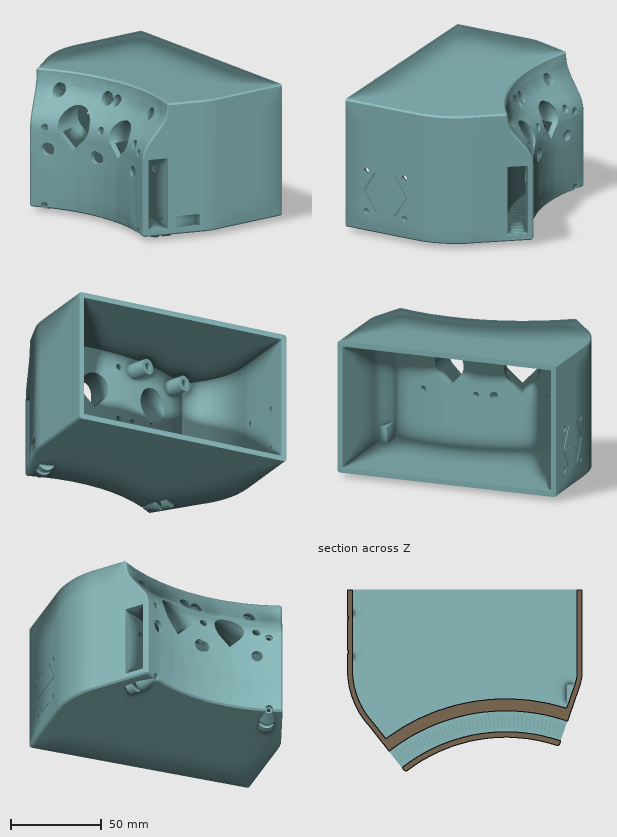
import cadquery as cq
import math

LENGTH = 129.8
HEIGHT = 75.8
BACK_Y = 171.3
LEFT_X = -87.6
RIGHT_X = LEFT_X + LENGTH
FRONT_RADIUS = 89.7
LEFT_END_ANGLE = 38.2
RIGHT_END_ANGLE = -19.1
LEFT_BEND_TOP_Y = 127.2
LEFT_BEND_END_Y = 95.4
RIGHT_BEND_RADIUS = 23.4
EDGE_CHAMFER = 0.9

RECESS_RADIUS = 104.1
RECESS_START_Z = 43.9
RECESS_BLEND_RADIUS = 17.1
RECESS_SLOPE_ANGLE = 38.0

CUT_START_RADIUS = 83.1

WALL = 3.0
BLOCK_BACK_RADIUS = 111.1

CHANNEL_INNER_RADIUS = 92.9
CHANNEL_OUTER_RADIUS = 104.2
CHANNEL_BOTTOM_Z = 3.5
CHANNEL_TOP_Z = 44.4
GROOVE_DEPTH = 0.5
GROOVE_WIDTH = 1.0
GROOVE_PITCH_ANGLE = 1.3

STATION_Z = 49.7
SCREW_OFFSET = 15.6
STRAIGHT_ANGLE = 0.0
STRAIGHT_TEARDROP_RADIUS = 8.6
STRAIGHT_SCREW_DIAMETER = 3.4
STRAIGHT_HEAD_DIAMETER = 6.5
STRAIGHT_SEAT_RADIUS = 105.0
SIDE_HOLE_DIAMETER = 4.5
SIDE_HOLE_FLOOR_RADIUS = 96.0
TURNED_ANGLE = 21.4
TURNED_TEARDROP_RADIUS = 10.0
TURNED_SCREW_DIAMETER = 4.5
TURNED_HEAD_DIAMETER = 7.5
TURNED_SEAT_RADIUS = 108.0
POST_DIAMETER = 9.0
POST_END_RADIUS = 120.7

BOSS_ANGLES = (32.7, -14.3)
BOSS_DIAMETER = 9.0
BOSS_DROP = 3.0
BOSS_LOWER_Z = BOSS_DIAMETER / 2 - BOSS_DROP
BOSS_UPPER_Z = 46.6
BOSS_TIP_DIAMETER = 4.4
BOSS_TIP_DISTANCE = 91.1
BOSS_FULL_DISTANCE = 99.3
BOSS_END_DISTANCE = 101.1
PAD_START_DISTANCE = 103.8
PAD_END_DISTANCE = 108.0
BOSS_CLEAR_DIAMETER = 4.2
BOSS_CORE_DIAMETER = 2.2
BOSS_SEAT_DISTANCE = 91.9
BOSS_CORE_END = 106.4

FAN_Y = 146.3
FAN_Z = 23.8
FAN_SCREW_OFFSET = 12.0
FAN_SCREW_DIAMETER = 3.4
HEX_RADIUS = 13.9
HEX_GROOVE_DEPTH = 0.5
HEX_SIDE_GAP = 1.5
HEX_TOP_GAP = 0.1
HEX_BAR_GAP = 0.5

PORT_START_X = 35.7
PORT_END_X = 40.2
PORT_DEPTH = 2.0
PORT_BOTTOM_Z = 3.6
PORT_TOP_Z = 10.5
PORT_WALL = 2.0

EDGE_TOLERANCE = 0.3


def sin_deg(angle):
    return math.sin(math.radians(angle))


def cos_deg(angle):
    return math.cos(math.radians(angle))


def tan_deg(angle):
    return math.tan(math.radians(angle))


def polar(radius, angle):
    return (-radius * sin_deg(angle), radius * cos_deg(angle))


def radial_plane(angle, z, distance):
    """Workplane facing outward along a radius, with local y pointing up."""
    x, y = polar(distance, angle)
    return cq.Workplane(cq.Plane(
        origin=(x, y, z),
        xDir=(-cos_deg(angle), -sin_deg(angle), 0),
        normal=(-sin_deg(angle), cos_deg(angle), 0),
    ))


def radial_cylinder(angle, z, diameter, start, end):
    return radial_plane(angle, z, start).circle(diameter / 2).extrude(end - start)


def ring(inner, outer, bottom, top):
    """Full ring about the Z axis."""
    return cq.Workplane("XY").workplane(offset=bottom).circle(outer).circle(inner).extrude(top - bottom)


def outline_block():
    """Full-height prism of the plan outline."""
    left_bend_end_x = -LEFT_BEND_END_Y * tan_deg(LEFT_END_ANGLE)
    right_corner_y = RIGHT_X / tan_deg(-RIGHT_END_ANGLE)
    half_turn = RIGHT_BEND_RADIUS * tan_deg(-RIGHT_END_ANGLE / 2)
    right_bend_start = (
        RIGHT_X + half_turn * sin_deg(RIGHT_END_ANGLE),
        right_corner_y - half_turn * cos_deg(RIGHT_END_ANGLE),
    )
    return (
        cq.Workplane("XY")
        .moveTo(RIGHT_X, BACK_Y)
        .lineTo(LEFT_X, BACK_Y)
        .lineTo(LEFT_X, LEFT_BEND_TOP_Y)
        .tangentArcPoint((left_bend_end_x, LEFT_BEND_END_Y), relative=False)
        .lineTo(*polar(FRONT_RADIUS, LEFT_END_ANGLE))
        .threePointArc(
            polar(FRONT_RADIUS, (LEFT_END_ANGLE + RIGHT_END_ANGLE) / 2),
            polar(FRONT_RADIUS, RIGHT_END_ANGLE),
        )
        .lineTo(*right_bend_start)
        .tangentArcPoint((RIGHT_X, right_corner_y + half_turn), relative=False)
        .close()
        .extrude(HEIGHT)
    )


def front_recess():
    """Revolved cutter with the S-shaped profile in radius and height."""
    blend_rise = RECESS_BLEND_RADIUS * sin_deg(RECESS_SLOPE_ANGLE)
    blend_run = RECESS_BLEND_RADIUS * (1 - cos_deg(RECESS_SLOPE_ANGLE))
    straight_run = RECESS_RADIUS - FRONT_RADIUS - 2 * blend_run
    straight_rise = straight_run / tan_deg(RECESS_SLOPE_ANGLE)
    lower_end = (FRONT_RADIUS + blend_run, RECESS_START_Z + blend_rise)
    upper_start = (lower_end[0] + straight_run, lower_end[1] + straight_rise)
    return (
        cq.Workplane("XZ")
        .moveTo(FRONT_RADIUS, RECESS_START_Z)
        .threePointArc(
            (FRONT_RADIUS + RECESS_BLEND_RADIUS * (1 - cos_deg(RECESS_SLOPE_ANGLE / 2)),
             RECESS_START_Z + RECESS_BLEND_RADIUS * sin_deg(RECESS_SLOPE_ANGLE / 2)),
            lower_end,
        )
        .lineTo(*upper_start)
        .tangentArcPoint((RECESS_RADIUS, upper_start[1] + blend_rise), relative=False)
        .lineTo(RECESS_RADIUS, HEIGHT)
        .lineTo(0, HEIGHT)
        .lineTo(0, RECESS_START_Z)
        .close()
        .revolve(360, (0, 0, 0), (0, 1, 0))
    )


def is_outer_edge(edge):
    """True for the top and bottom rims and for the ends of the concave front."""
    centre = edge.Center()
    on_rim = min(centre.z, HEIGHT - centre.z) < EDGE_TOLERANCE
    on_back = BACK_Y - centre.y < EDGE_TOLERANCE
    angle = math.degrees(math.atan2(-centre.x, centre.y))
    at_front_end = min(abs(angle - LEFT_END_ANGLE), abs(angle - RIGHT_END_ANGLE)) < EDGE_TOLERANCE
    on_front = math.hypot(centre.x, centre.y) < RECESS_RADIUS + EDGE_TOLERANCE
    return (on_rim and not on_back) or (at_front_end and on_front)


def outer_body():
    """Solid outer form with its chamfered edges."""
    block = outline_block().cut(front_recess())
    outer_edges = [edge for edge in block.edges().vals() if is_outer_edge(edge)]
    return block.newObject(outer_edges).chamfer(EDGE_CHAMFER)


def rear_cavity():
    """Space behind the front block, open at the back."""
    front_block = cq.Workplane("XY").circle(BLOCK_BACK_RADIUS).extrude(HEIGHT)
    inside = (
        cq.Workplane("XY")
        .add(outline_block().faces("<Z").wires().vals())
        .toPending()
        .offset2D(-WALL)
        .extrude(HEIGHT - 2 * WALL)
        .translate((0, 0, WALL))
    )
    return inside.union(inside.translate((0, 2 * WALL, 0))).cut(front_block)


def channel_slot():
    """Arc-shaped slot running from the left wall to the right wall."""
    slot = ring(CHANNEL_INNER_RADIUS, CHANNEL_OUTER_RADIUS, CHANNEL_BOTTOM_Z, CHANNEL_TOP_Z)
    front_half = cq.Workplane("XY").box(2 * LENGTH, LENGTH, HEIGHT, centered=(True, False, False))
    return slot.intersect(front_half)


def channel_grooves():
    """Radial grooves side by side in the channel floor."""
    depth_in_y = CHANNEL_OUTER_RADIUS - CHANNEL_INNER_RADIUS
    groove = (
        cq.Workplane("XY")
        .box(GROOVE_WIDTH, depth_in_y, GROOVE_DEPTH, centered=(True, False, False))
        .translate((0, CHANNEL_INNER_RADIUS, CHANNEL_BOTTOM_Z - GROOVE_DEPTH))
    )
    first = math.floor(RIGHT_END_ANGLE / GROOVE_PITCH_ANGLE)
    last = math.ceil(LEFT_END_ANGLE / GROOVE_PITCH_ANGLE)
    grooves = [
        groove.rotate((0, 0, 0), (0, 0, 1), index * GROOVE_PITCH_ANGLE).val()
        for index in range(first, last + 1)
    ]
    return cq.Workplane(obj=cq.Compound.makeCompound(grooves))


def boss(angle, z):
    """Cone growing into a short cylinder."""
    cone = (
        radial_plane(angle, z, BOSS_TIP_DISTANCE)
        .circle(BOSS_TIP_DIAMETER / 2)
        .workplane(offset=BOSS_FULL_DISTANCE - BOSS_TIP_DISTANCE)
        .circle(BOSS_DIAMETER / 2)
        .loft()
    )
    rim = radial_cylinder(angle, z, BOSS_DIAMETER, BOSS_FULL_DISTANCE, BOSS_END_DISTANCE)
    return cone.union(rim)


def boss_hole(angle, z):
    head = radial_cylinder(angle, z, BOSS_CLEAR_DIAMETER, CUT_START_RADIUS, BOSS_SEAT_DISTANCE)
    core = radial_cylinder(angle, z, BOSS_CORE_DIAMETER, FRONT_RADIUS, BOSS_CORE_END)
    return head.union(core)


def teardrop(angle, radius):
    """Round opening with a 45 degree point at the bottom."""
    side = radius / math.sqrt(2)
    return (
        radial_plane(angle, STATION_Z, CUT_START_RADIUS)
        .moveTo(-side, -side)
        .threePointArc((0, radius), (side, -side))
        .lineTo(0, -2 * side)
        .close()
        .extrude(POST_END_RADIUS - CUT_START_RADIUS)
    )


def screw_cylinders(angle, rows, diameter, start, end):
    """Cylinders on the screw square of a station; in rows, -1 is the lower pair and 1 the upper."""
    centres = [(side * SCREW_OFFSET, row * SCREW_OFFSET) for side in (-1, 1) for row in rows]
    circles = radial_plane(angle, STATION_Z, start).pushPoints(centres).circle(diameter / 2)
    return circles.extrude(end - start)


def straight_screws():
    """Four stepped screw holes through the front block."""
    heads = screw_cylinders(
        STRAIGHT_ANGLE, (-1, 1),
        STRAIGHT_HEAD_DIAMETER, CUT_START_RADIUS, STRAIGHT_SEAT_RADIUS,
    )
    shanks = screw_cylinders(
        STRAIGHT_ANGLE, (-1, 1),
        STRAIGHT_SCREW_DIAMETER, CUT_START_RADIUS, POST_END_RADIUS,
    )
    return heads.union(shanks)


def turned_posts():
    """Posts behind the upper screws of the turned station."""
    return screw_cylinders(
        TURNED_ANGLE, (1,),
        POST_DIAMETER, TURNED_SEAT_RADIUS, POST_END_RADIUS,
    )


def turned_screws():
    """Stepped holes: the upper heads sit on the posts, the lower ones on the channel's rear wall."""
    upper_heads = screw_cylinders(
        TURNED_ANGLE, (1,),
        TURNED_HEAD_DIAMETER, CUT_START_RADIUS, TURNED_SEAT_RADIUS,
    )
    shanks = screw_cylinders(
        TURNED_ANGLE, (-1, 1),
        TURNED_SCREW_DIAMETER, CUT_START_RADIUS, POST_END_RADIUS,
    )
    lower_heads = screw_cylinders(
        TURNED_ANGLE, (-1,),
        TURNED_HEAD_DIAMETER, CUT_START_RADIUS, (CHANNEL_INNER_RADIUS + CHANNEL_OUTER_RADIUS) / 2,
    )
    return shanks.union(upper_heads).union(lower_heads)


def side_holes():
    return (
        radial_plane(STRAIGHT_ANGLE, STATION_Z, CUT_START_RADIUS)
        .pushPoints([(-SCREW_OFFSET, 0), (SCREW_OFFSET, 0)])
        .circle(SIDE_HOLE_DIAMETER / 2)
        .extrude(SIDE_HOLE_FLOOR_RADIUS - CUT_START_RADIUS)
    )


def fan_mount():
    """Four screw holes around a shallow hexagonal groove with a bar across it."""
    plane = cq.Workplane(cq.Plane(origin=(LEFT_X, FAN_Y, FAN_Z), xDir=(0, -1, 0), normal=(-1, 0, 0)))
    holes = (
        plane.rect(2 * FAN_SCREW_OFFSET, 2 * FAN_SCREW_OFFSET, forConstruction=True)
        .vertices()
        .circle(FAN_SCREW_DIAMETER / 2)
        .extrude(-2 * WALL)
    )
    half_height = HEX_RADIUS * cos_deg(30)
    hexagon = plane.polygon(6, 2 * HEX_RADIUS).extrude(-HEX_GROOVE_DEPTH)
    inner = HEX_RADIUS - HEX_SIDE_GAP
    inner_corner = HEX_RADIUS / 2 - HEX_SIDE_GAP
    upper = (
        plane.polyline([
            (-inner, HEX_BAR_GAP / 2), (inner, HEX_BAR_GAP / 2),
            (inner_corner, half_height - HEX_TOP_GAP), (-inner_corner, half_height - HEX_TOP_GAP),
        ]).close().extrude(-HEX_GROOVE_DEPTH)
    )
    lower = (
        plane.polyline([
            (-inner, -HEX_BAR_GAP / 2), (inner, -HEX_BAR_GAP / 2),
            (inner_corner, HEX_BAR_GAP - half_height), (-inner_corner, HEX_BAR_GAP - half_height),
        ]).close().extrude(-HEX_GROOVE_DEPTH)
    )
    return holes.union(hexagon.cut(upper).cut(lower))


def port_points():
    """Opening in the slanted wall: one end square to the wall, the floor facing straight forward."""
    outer_start = (PORT_START_X, PORT_START_X / tan_deg(-RIGHT_END_ANGLE))
    outer_end = (PORT_END_X, PORT_END_X / tan_deg(-RIGHT_END_ANGLE))
    floor_end = (
        PORT_END_X - PORT_DEPTH * cos_deg(RIGHT_END_ANGLE),
        outer_end[1] - PORT_DEPTH * sin_deg(RIGHT_END_ANGLE),
    )
    return [outer_start, outer_end, floor_end, (PORT_START_X, floor_end[1])]


def prism(points, bottom, top):
    return cq.Workplane("XY").workplane(offset=bottom).polyline(points).close().extrude(top - bottom)


def port_housing():
    """Local thickening of the wall around the port."""
    (x0, y0), (x1, y1), _, (_, y2) = port_points()
    back = y2 + PORT_WALL
    corners = [(x0 - PORT_WALL, y0), (x1, y1), (x1, back), (x0 - PORT_WALL, back)]
    return prism(corners, WALL, PORT_TOP_Z + PORT_WALL)


body = outer_body().cut(rear_cavity())
body = body.union(port_housing().intersect(outline_block()))
body = body.union(turned_posts())
for boss_angle in BOSS_ANGLES:
    body = body.union(boss(boss_angle, BOSS_LOWER_Z))

body = body.cut(channel_slot()).cut(channel_grooves())
for boss_angle in BOSS_ANGLES:
    for boss_z in (BOSS_LOWER_Z, BOSS_UPPER_Z):
        body = body.union(radial_cylinder(
            boss_angle, boss_z, BOSS_DIAMETER, PAD_START_DISTANCE, PAD_END_DISTANCE
        ))
        body = body.cut(boss_hole(boss_angle, boss_z))

body = body.cut(teardrop(STRAIGHT_ANGLE, STRAIGHT_TEARDROP_RADIUS))
body = body.cut(teardrop(TURNED_ANGLE, TURNED_TEARDROP_RADIUS))
body = body.cut(straight_screws()).cut(turned_screws())
body = body.cut(side_holes()).cut(fan_mount())
result = body.cut(prism(port_points(), PORT_BOTTOM_Z, PORT_TOP_Z))